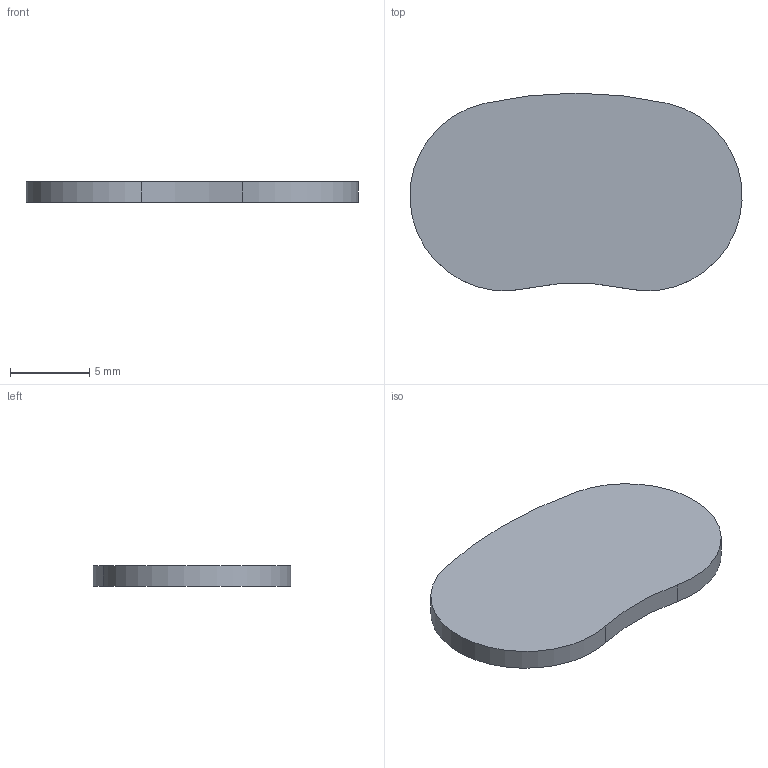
import cadquery as cq
import math

thickness = 1.3
end_radius = 6.0
end_spacing = 9.0
centreline_radius = 20.5

bend_centre_y = -centreline_radius
half_angle = math.asin(end_spacing / 2 / centreline_radius)
outer_radius = centreline_radius + end_radius
inner_radius = centreline_radius - end_radius


def bend_point(radius, angle):
    """Point at a radius from the bend centre, with the angle measured from +Y towards +X."""
    return (radius * math.sin(angle), bend_centre_y + radius * math.cos(angle))


def end_tip(side):
    """Farthest point of a rounded end along the bend; side is +1 (right) or -1 (left)."""
    centre_x, centre_y = bend_point(centreline_radius, side * half_angle)
    return (
        centre_x + side * end_radius * math.cos(half_angle),
        centre_y - end_radius * math.sin(half_angle),
    )


def kidney_plate():
    """Flat plate bounded by two concentric arcs joined by tangent round ends."""
    return (
        cq.Workplane("XY")
        .moveTo(*bend_point(outer_radius, -half_angle))
        .threePointArc(bend_point(outer_radius, 0), bend_point(outer_radius, half_angle))
        .threePointArc(end_tip(1), bend_point(inner_radius, half_angle))
        .threePointArc(bend_point(inner_radius, 0), bend_point(inner_radius, -half_angle))
        .threePointArc(end_tip(-1), bend_point(outer_radius, -half_angle))
        .close()
        .extrude(thickness)
    )


result = kidney_plate()